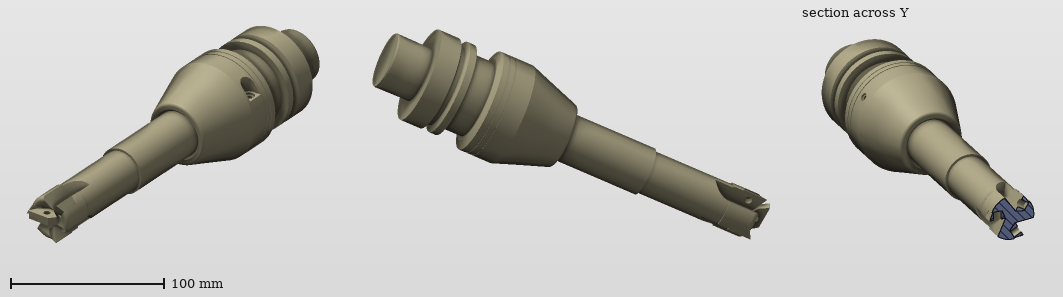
import cadquery as cq
import math


SHANK_DIAMETER = 38.0
SHANK_REAR_Y = 25.0
SHANK_CHAMFER_LENGTH = 1.0
SHANK_CHAMFER_DEPTH = 0.3
SHANK_RELIEF_DIAMETER = 37.5
SHANK_RELIEF_Y = 6.3

FLANGE_DIAMETER = 64.0
FLANGE_FRONT_Y = -25.9
GRIP_GROOVE_DIAMETER = 55.5
GRIP_GROOVE_REAR_Y = -14.5
GRIP_GROOVE_FRONT_Y = -21.0
GRIP_GROOVE_FLANK_LENGTH = 1.7

NECK_DIAMETER = 52.5
SHOULDER_DIAMETER = 57.8
SHOULDER_Y = -41.8
COLLAR_DIAMETER = 69.5
COLLAR_REAR_Y = -44.0
COLLAR_FRONT_Y = -67.0
RING_GROOVE_YS = (-48.7, -53.0)
RING_GROOVE_WIDTH = 1.0
RING_GROOVE_DEPTH = 0.4

NOSE_DIAMETER = 43.7
NOSE_FRONT_Y = -104.8
NOSE_ROUND_RADIUS = 2.2
BORE_CHAMFER = 1.7

SCREW_HOLES_Y = -59.5
SCREW_SEAT_X = 25.0
SCREW_SEAT_Z = 17.3
SCREW_SEAT_RADIUS = 5.8
SCREW_BORE_DIAMETER = 7.7
SCREW_BORE_DEPTH = 1.5
SCREW_SOCKET_SIZE = 4.5
SCREW_SOCKET_DEPTH = 2.8

SIDE_HOLE_ANGLE = 35.5
SIDE_HOLE_DIAMETER = 5.5
SIDE_HOLE_DEPTH = 1.5
SIDE_SOCKET_DIAMETER = 2.8
SIDE_SOCKET_DEPTH = 4.0

STEM_DIAMETER = 32.7
STEM_INSERTION = 41.3
STEM_FRONT_Y = -164.5
NECKED_DIAMETER = 29.5
HEAD_DIAMETER = 31.4
HEAD_REAR_Y = -221.5
HEAD_ROUND_RADIUS = 2.8
HEAD_DISH_Y = -237.0

TOOTH_COUNT = 3
FLUTE_CORNER_RADIUS = 5.0
FLUTE_ANGLE = 66.0
FLUTE_RUNOUT_Y = -222.5
FLUTE_RUNOUT_RADIUS = 15.5

INSERT_THICKNESS = 5.8
SIDE_INSERT_OUTER_RADIUS = 16.2
SIDE_INSERT_REAR_Y = -228.5
SIDE_INSERT_TIP_Y = -245.7
SIDE_INSERT_SLOPE = 0.45
SIDE_INSERT_RELIEF_ANGLE = 22.0
SIDE_INSERT_HOLE_DIAMETER = 5.0

TOOL_LENGTH = 275.0
TIP_Y = SHANK_REAR_Y - TOOL_LENGTH
TIP_LEFT_X = -11.3
TIP_RIGHT_X = 5.0
TIP_CORNER_CUT = 0.5
TIP_LEFT_HEEL = (-8.0, -243.7)
TIP_RIGHT_HEEL = (8.5, -245.7)
TIP_REAR_POINT = (0.0, -238.5)
TIP_HOLE_Y = -244.8
TIP_HOLE_DIAMETER = 4.7

CLEARANCE = 55.0


def revolve_about_y(points):
    """Revolve a closed (radius, y) outline about the tool axis."""
    return cq.Workplane("XY").polyline(points).close().revolve(360, (0, 0), (0, 1))


def turn_to_tooth(shape, tooth):
    """Turn a shape made at the -X tooth to one of the evenly spaced teeth."""
    return shape.rotate((0, 0, 0), (0, 1, 0), tooth * 360 / TOOTH_COUNT)


def insert_plate(points, relief_angle=0.0):
    """Plate of the insert thickness on an (x, y) outline, its edges leaning inward by the relief angle."""
    return cq.Workplane("XY").polyline(points).close().extrude(INSERT_THICKNESS, taper=relief_angle)


def insert_hole(x, y, diameter):
    return cq.Workplane("XY", origin=(x, y, 0)).circle(diameter / 2).extrude(INSERT_THICKNESS)


def circle_edge_at(y):
    """Selector for the circular edge of a turned shape that is centred at this y."""
    return cq.selectors.NearestToPointSelector((0, y, 0))


def holder_blank():
    shank_radius = SHANK_DIAMETER / 2
    relief_radius = SHANK_RELIEF_DIAMETER / 2
    flange_radius = FLANGE_DIAMETER / 2
    grip_radius = GRIP_GROOVE_DIAMETER / 2
    neck_radius = NECK_DIAMETER / 2
    collar_radius = COLLAR_DIAMETER / 2
    outline = [
        (0, SHANK_REAR_Y),
        (shank_radius - SHANK_CHAMFER_DEPTH, SHANK_REAR_Y),
        (shank_radius, SHANK_REAR_Y - SHANK_CHAMFER_LENGTH),
        (relief_radius, SHANK_RELIEF_Y),
        (relief_radius, 0),
        (flange_radius, 0),
        (flange_radius, GRIP_GROOVE_REAR_Y),
        (grip_radius, GRIP_GROOVE_REAR_Y - GRIP_GROOVE_FLANK_LENGTH),
        (grip_radius, GRIP_GROOVE_FRONT_Y + GRIP_GROOVE_FLANK_LENGTH),
        (flange_radius, GRIP_GROOVE_FRONT_Y),
        (flange_radius, FLANGE_FRONT_Y),
        (neck_radius, FLANGE_FRONT_Y),
        (neck_radius, SHOULDER_Y),
        (SHOULDER_DIAMETER / 2, SHOULDER_Y),
        (collar_radius, COLLAR_REAR_Y),
        (collar_radius, COLLAR_FRONT_Y),
        (NOSE_DIAMETER / 2, NOSE_FRONT_Y),
        (0, NOSE_FRONT_Y),
    ]
    return revolve_about_y(outline).edges(circle_edge_at(NOSE_FRONT_Y)).fillet(NOSE_ROUND_RADIUS)


def ring_groove(y):
    collar_radius = COLLAR_DIAMETER / 2
    floor_radius = collar_radius - RING_GROOVE_DEPTH
    rear_y = y + RING_GROOVE_WIDTH / 2
    front_y = y - RING_GROOVE_WIDTH / 2
    outline = [
        (floor_radius, rear_y),
        (CLEARANCE, rear_y),
        (CLEARANCE, front_y),
        (floor_radius, front_y),
    ]
    return revolve_about_y(outline)


def stem_bore():
    """Blind bore for the cutter stem, with a chamfered mouth."""
    bore_radius = STEM_DIAMETER / 2
    outline = [
        (0, NOSE_FRONT_Y + STEM_INSERTION),
        (bore_radius, NOSE_FRONT_Y + STEM_INSERTION),
        (bore_radius, NOSE_FRONT_Y + BORE_CHAMFER),
        (bore_radius + BORE_CHAMFER, NOSE_FRONT_Y),
        (0, NOSE_FRONT_Y),
    ]
    return revolve_about_y(outline)


def screw_seat():
    """Round-ended flat seat open to +X, with a screw bore and hexagon socket in its floor."""
    floor = cq.Workplane("XY", origin=(SCREW_SEAT_X, SCREW_HOLES_Y, SCREW_SEAT_Z))
    round_end = floor.circle(SCREW_SEAT_RADIUS).extrude(CLEARANCE)
    open_side = floor.center(CLEARANCE / 2, 0).rect(CLEARANCE, 2 * SCREW_SEAT_RADIUS).extrude(CLEARANCE)
    bore = floor.circle(SCREW_BORE_DIAMETER / 2).extrude(-SCREW_BORE_DEPTH)
    socket = floor.polygon(6, SCREW_SOCKET_SIZE).extrude(-SCREW_BORE_DEPTH - SCREW_SOCKET_DEPTH)
    return round_end.union(open_side).union(bore).union(socket)


def side_hole():
    """Radial stepped hole in the collar, made along -X and then turned upward."""
    surface = cq.Workplane("YZ", origin=(-COLLAR_DIAMETER / 2, SCREW_HOLES_Y, 0))
    hole = surface.circle(SIDE_HOLE_DIAMETER / 2).extrude(SIDE_HOLE_DEPTH)
    socket = surface.circle(SIDE_SOCKET_DIAMETER / 2).extrude(SIDE_SOCKET_DEPTH)
    return hole.union(socket).rotate((0, 0, 0), (0, 1, 0), SIDE_HOLE_ANGLE)


def make_holder():
    holder = holder_blank().cut(stem_bore())
    for y in RING_GROOVE_YS:
        holder = holder.cut(ring_groove(y))
    return holder.cut(screw_seat()).cut(side_hole())


def side_insert_outline(extension=0.0):
    """Parallelogram of the -X side insert; its outer and front edges may be moved outward."""
    outer_x = -SIDE_INSERT_OUTER_RADIUS - extension
    inner_x = -FLUTE_CORNER_RADIUS
    outer_drop = SIDE_INSERT_SLOPE * extension
    inner_rise = SIDE_INSERT_SLOPE * (SIDE_INSERT_OUTER_RADIUS - FLUTE_CORNER_RADIUS)
    return [
        (outer_x, SIDE_INSERT_REAR_Y - outer_drop),
        (inner_x, SIDE_INSERT_REAR_Y + inner_rise),
        (inner_x, SIDE_INSERT_TIP_Y + inner_rise - extension),
        (outer_x, SIDE_INSERT_TIP_Y - outer_drop - extension),
    ]


def tip_insert_outline():
    return [
        (TIP_LEFT_X, TIP_Y + TIP_CORNER_CUT),
        (TIP_LEFT_X + TIP_CORNER_CUT, TIP_Y),
        (TIP_RIGHT_X, TIP_Y),
        TIP_RIGHT_HEEL,
        TIP_REAR_POINT,
        TIP_LEFT_HEEL,
    ]


def cutter_blank():
    """Stepped stem and head; the head has a rounded rim and a dished end."""
    stem_radius = STEM_DIAMETER / 2
    necked_radius = NECKED_DIAMETER / 2
    head_radius = HEAD_DIAMETER / 2
    rim_y = HEAD_DISH_Y - SIDE_INSERT_SLOPE * head_radius
    outline = [
        (0, NOSE_FRONT_Y + STEM_INSERTION),
        (stem_radius, NOSE_FRONT_Y + STEM_INSERTION),
        (stem_radius, STEM_FRONT_Y),
        (necked_radius, STEM_FRONT_Y),
        (necked_radius, HEAD_REAR_Y),
        (head_radius, HEAD_REAR_Y),
        (head_radius, rim_y),
        (0, HEAD_DISH_Y),
    ]
    return revolve_about_y(outline).edges(circle_edge_at(rim_y)).fillet(HEAD_ROUND_RADIUS)


def flute():
    """V flute under the -X cutting face, its floor curving outward at the rear."""
    angle = math.radians(FLUTE_ANGLE)
    floor_plane = cq.Plane(
        origin=(-FLUTE_CORNER_RADIUS, 0, 0),
        xDir=(-math.sin(angle), 0, math.cos(angle)),
        normal=(math.cos(angle), 0, math.sin(angle)),
    )
    local_y = floor_plane.yDir.y
    arc_end = (FLUTE_RUNOUT_RADIUS, local_y * (FLUTE_RUNOUT_Y + FLUTE_RUNOUT_RADIUS))
    arc_shift = FLUTE_RUNOUT_RADIUS * math.sqrt(0.5)
    arc_middle = (FLUTE_RUNOUT_RADIUS - arc_shift, local_y * (FLUTE_RUNOUT_Y + arc_shift))
    channel = (
        cq.Workplane(floor_plane)
        .moveTo(0, local_y * (TIP_Y - CLEARANCE))
        .lineTo(0, local_y * FLUTE_RUNOUT_Y)
        .threePointArc(arc_middle, arc_end)
        .lineTo(CLEARANCE, arc_end[1])
        .lineTo(CLEARANCE, local_y * (TIP_Y - CLEARANCE))
        .close()
        .extrude(CLEARANCE, both=True)
    )
    below_cutting_face = (
        cq.Workplane("XZ", origin=(0, FLUTE_RUNOUT_Y + CLEARANCE, -CLEARANCE / 2))
        .rect(2 * CLEARANCE, CLEARANCE)
        .extrude(2 * CLEARANCE)
    )
    return channel.intersect(below_cutting_face)


def make_cutter():
    cutter = cutter_blank()
    seat = insert_plate(side_insert_outline(CLEARANCE), SIDE_INSERT_RELIEF_ANGLE)
    for tooth in range(TOOTH_COUNT):
        cutter = cutter.cut(turn_to_tooth(flute(), tooth))
        cutter = cutter.cut(turn_to_tooth(seat, tooth))
    return cutter.cut(insert_plate(tip_insert_outline()))


def make_side_insert(tooth):
    outline = side_insert_outline()
    centre_x = sum(x for x, y in outline) / len(outline)
    centre_y = sum(y for x, y in outline) / len(outline)
    hole = insert_hole(centre_x, centre_y, SIDE_INSERT_HOLE_DIAMETER)
    return turn_to_tooth(insert_plate(outline, SIDE_INSERT_RELIEF_ANGLE).cut(hole), tooth)


def make_tip_insert():
    hole = insert_hole(0, TIP_HOLE_Y, TIP_HOLE_DIAMETER)
    return insert_plate(tip_insert_outline()).cut(hole)


holder = make_holder()
cutter = make_cutter()
side_inserts = [make_side_insert(tooth) for tooth in range(TOOTH_COUNT)]
tip_insert = make_tip_insert()

result = cq.Compound.makeCompound(
    [body.solids().val() for body in (holder, cutter, *side_inserts, tip_insert)]
)